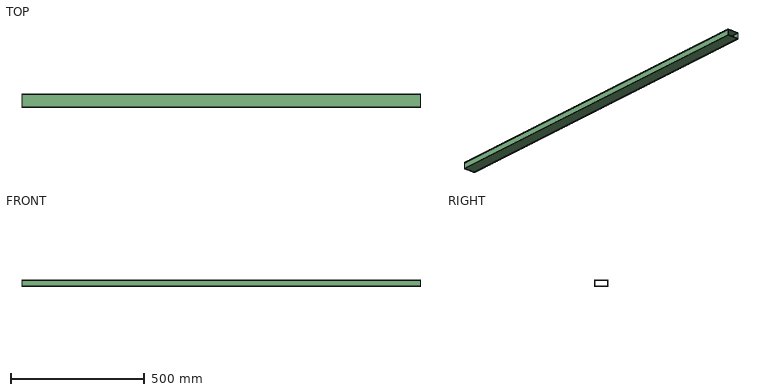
import cadquery as cq

inch = 25.4

length = 59 * inch
width = 2 * inch
height = inch
wall = inch / 16


def bar(bar_width, bar_height):
    """Solid rectangular bar of the full tube length, centred on the origin."""
    return cq.Workplane("XY").box(length, bar_width, bar_height)


outer = bar(width, height)
bore = bar(width - 2 * wall, height - 2 * wall)

result = outer.cut(bore)